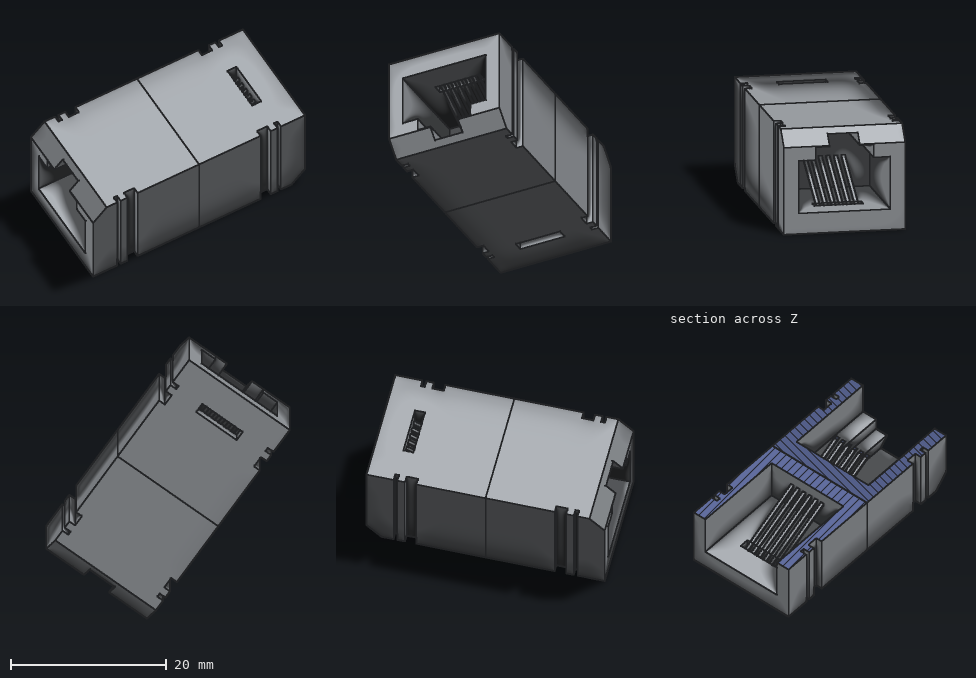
import cadquery as cq

LENGTH = 31.5
WIDTH = 15.95
HEIGHT = 13.5
HALF_LENGTH = LENGTH / 2
FRONT_Y = -HALF_LENGTH
BOTTOM_Z = -HEIGHT / 2
TOP_Z = HEIGHT / 2
CHAMFER = 2.02

SOCKET_WIDTH = 12.0
SHOULDER_WIDTH = 7.6
LATCH_WIDTH = 3.97
FLOOR_Z = BOTTOM_Z + 2.75
SOCKET_TOP_Z = TOP_Z - 3.85
SHOULDER_TOP_Z = TOP_Z - 2.15
LATCH_TOP_Z = TOP_Z - 0.75
SOCKET_DEPTH = 13.23
BACK_Y = FRONT_Y + SOCKET_DEPTH

GROOVE_DEPTH = 0.9
NARROW_GROOVE_START = 3.6
NARROW_GROOVE_WIDTH = 0.5
GROOVE_RIB = 1.0
WIDE_GROOVE_START = NARROW_GROOVE_START + NARROW_GROOVE_WIDTH + GROOVE_RIB
WIDE_GROOVE_WIDTH = 1.5

WINDOW_WIDTH = 6.4
WINDOW_LENGTH = 1.32
WINDOW_START_Y = FRONT_Y + 3.75

CONTACT_COUNT = 6
CONTACT_PITCH = 1.0
CONTACT_WIDTH = 0.5
CONTACT_HEIGHT = 0.25
CONTACT_START_Z = FLOOR_Z - 0.7
CONTACT_END_Z = FLOOR_Z + 4.25


def block(width, y_start, y_end, z_start, z_end):
    """Box centred on X = 0."""
    size = (width, y_end - y_start, z_end - z_start)
    return cq.Workplane("XY").box(*size, centered=(True, False, False)).translate((0, y_start, z_start))


def shell():
    """Outer block with its top front edge bevelled."""
    body = block(WIDTH, FRONT_Y, 0, BOTTOM_Z, TOP_Z)
    return body.faces("<Y").edges(">Z").chamfer(CHAMFER)


def socket():
    """Opening in three widths, narrowing upwards to the latch slot."""
    opening = block(SOCKET_WIDTH, FRONT_Y, BACK_Y, FLOOR_Z, SOCKET_TOP_Z)
    opening = opening.union(block(SHOULDER_WIDTH, FRONT_Y, BACK_Y, FLOOR_Z, SHOULDER_TOP_Z))
    return opening.union(block(LATCH_WIDTH, FRONT_Y, BACK_Y, FLOOR_Z, LATCH_TOP_Z))


def groove_pair(start, width):
    """Full-height grooves in the left and right sides."""
    y_start = FRONT_Y + start
    band = block(WIDTH, y_start, y_start + width, BOTTOM_Z, TOP_Z)
    core = block(WIDTH - 2 * GROOVE_DEPTH, y_start, y_start + width, BOTTOM_Z, TOP_Z)
    return band.cut(core)


def window():
    """Rectangular hole from the underside up into the socket."""
    return block(WINDOW_WIDTH, WINDOW_START_Y, WINDOW_START_Y + WINDOW_LENGTH, BOTTOM_Z, FLOOR_Z)


def contact(x):
    """Sloping flat-sided wire whose ends merge into the window's front wall and the back wall."""
    profile = [
        (WINDOW_START_Y, CONTACT_START_Z),
        (BACK_Y, CONTACT_END_Z),
        (BACK_Y, CONTACT_END_Z - CONTACT_HEIGHT),
        (WINDOW_START_Y, CONTACT_START_Z - CONTACT_HEIGHT),
    ]
    left_side = cq.Workplane("YZ", origin=(x - CONTACT_WIDTH / 2, 0, 0))
    return left_side.polyline(profile).close().extrude(CONTACT_WIDTH)


def socket_half():
    half = shell().cut(socket()).cut(window())
    half = half.cut(groove_pair(NARROW_GROOVE_START, NARROW_GROOVE_WIDTH))
    half = half.cut(groove_pair(WIDE_GROOVE_START, WIDE_GROOVE_WIDTH))
    for i in range(CONTACT_COUNT):
        half = half.union(contact((i - (CONTACT_COUNT - 1) / 2) * CONTACT_PITCH))
    return half


HALF_TURNS = (0, 180)
halves = [socket_half().rotate((0, 0, 0), (1, 0, 0), angle) for angle in HALF_TURNS]

result = cq.Compound.makeCompound([half.val() for half in halves])